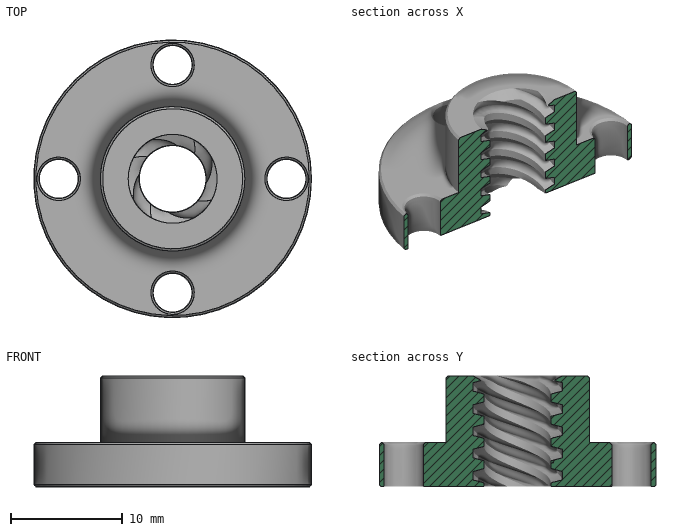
import cadquery as cq
import math

flange_diameter = 25.0
flange_thickness = 4.0
boss_diameter = 13.0
total_height = 10.0
edge_chamfer = 0.2

hole_count = 4
hole_diameter = 3.5
hole_circle_radius = 10.25
hole_chamfer = 0.2

thread_starts = 4
thread_pitch = 2.0
thread_lead = thread_starts * thread_pitch
minor_radius = 3.0
major_radius = 4.0
flank_angle = 15.0
pitch_radius = (minor_radius + major_radius) / 2
groove_angle = 45.0
entry_depth = 0.55
flank_overrun = 0.2


def make_body():
    flange = (
        cq.Workplane("XY")
        .circle(flange_diameter / 2)
        .extrude(flange_thickness)
        .edges()
        .chamfer(edge_chamfer)
    )
    boss = (
        cq.Workplane("XY")
        .workplane(offset=flange_thickness)
        .circle(boss_diameter / 2)
        .extrude(total_height - flange_thickness)
        .faces(">Z")
        .edges()
        .chamfer(edge_chamfer)
    )
    return flange.union(boss)


def drill_mounting_holes(body):
    """Through holes with a chamfered rim on the upper flange face."""
    chamfer_start = flange_thickness - hole_chamfer
    radius = hole_diameter / 2
    cutter = (
        cq.Workplane("XZ")
        .polyline([
            (0, 0),
            (radius, 0),
            (radius, chamfer_start),
            (radius + hole_chamfer, flange_thickness),
            (0, flange_thickness),
        ])
        .close()
        .revolve(360, (0, 0), (0, 1))
        .translate((hole_circle_radius, 0, 0))
    )
    for index in range(hole_count):
        angle = index * 360 / hole_count
        body = body.cut(cutter.rotate((0, 0, 0), (0, 0, 1), angle))
    return body


def polar_point(radius, angle):
    return (radius * math.cos(math.radians(angle)), radius * math.sin(math.radians(angle)))


def groove_half_angle(radius):
    """Half of the angle that one groove spans in a slice across the axis."""
    flank_slope = math.tan(math.radians(flank_angle))
    half_width = thread_pitch / 4 + (pitch_radius - radius) * flank_slope
    return 360 * half_width / thread_lead


def make_thread_core():
    """The grooves joined on the axis: one slice across the axis, twisted along Z.

    The slice stops inside the crests and reaches past the roots, so that plain
    cylinders can finish both.
    """
    inner_radius = minor_radius - flank_overrun
    outer_radius = major_radius + flank_overrun
    inner_half = groove_half_angle(inner_radius)
    pitch_half = groove_half_angle(pitch_radius)
    outer_half = groove_half_angle(outer_radius)
    start_spacing = 360 / thread_starts
    outline = cq.Workplane("XY").moveTo(*polar_point(inner_radius, groove_angle - inner_half))
    for index in range(thread_starts):
        middle = groove_angle + index * start_spacing
        next_groove = middle + start_spacing - inner_half
        outline = (
            outline
            .threePointArc(
                polar_point(pitch_radius, middle - pitch_half),
                polar_point(outer_radius, middle - outer_half),
            )
            .threePointArc(
                polar_point(outer_radius, middle),
                polar_point(outer_radius, middle + outer_half),
            )
            .threePointArc(
                polar_point(pitch_radius, middle + pitch_half),
                polar_point(inner_radius, middle + inner_half),
            )
            .threePointArc(
                polar_point(inner_radius, middle + start_spacing / 2),
                polar_point(inner_radius, next_groove),
            )
        )
    core = outline.close().twistExtrude(total_height, 360 * total_height / thread_lead)
    root_cylinder = cq.Workplane("XY").circle(major_radius).extrude(total_height)
    return root_cylinder.intersect(core)


def make_bore():
    """Cylinder along the thread crests, with a cone that opens it to the major diameter at the top."""
    return (
        cq.Workplane("XZ")
        .polyline([
            (0, 0),
            (minor_radius, 0),
            (minor_radius, total_height - entry_depth),
            (major_radius, total_height),
            (0, total_height),
        ])
        .close()
        .revolve(360, (0, 0), (0, 1))
    )


result = drill_mounting_holes(make_body()).cut(make_bore()).cut(make_thread_core())